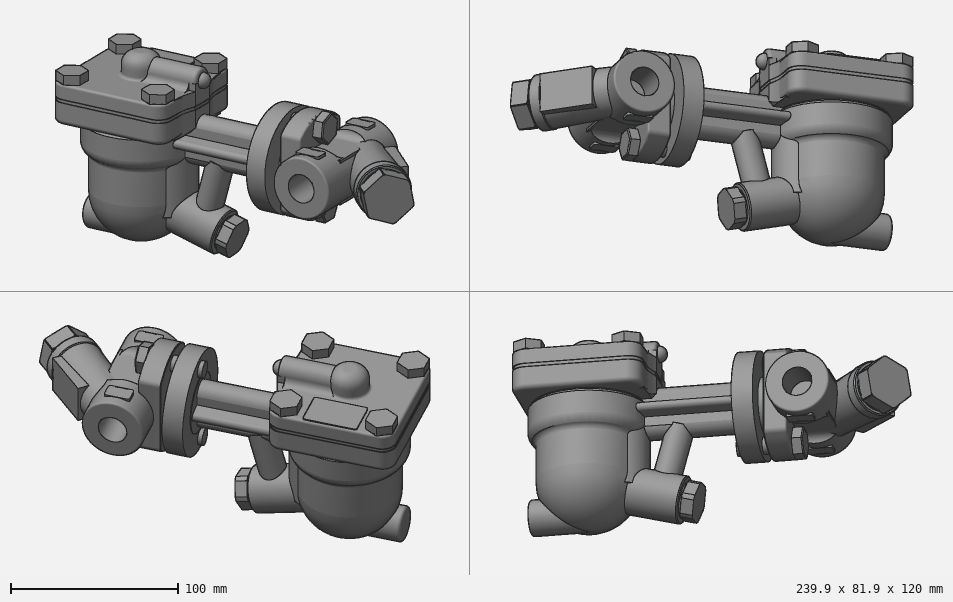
import cadquery as cq
import math


SQRT2 = math.sqrt(2)

joint_x = 111.4
bolt_offset = 25.2
bolt_shank_diameter = 10.5
flange_radius = 33.4

bowl_radius = 31.7
bowl_dome_z = -39.8
collar_radius = 36.5
collar_bottom_z = -9.0
collar_neck_inset = 1.5
shoulder_bottom_z = -17.5

cover_half = 39.8
cover_corner = 9.0
cover_top = 33.4
gasket_top = 23.8
gasket_bottom = 21.5
gasket_inset = 0.5
rim_bottom = 7.5
rim_bottom_round = 3.0
cover_top_round = 1.7
bump_half_width = 26.5
bump_x = 43.0
bump_flare_x = 40.3
bump_flare_y = 15.5

head_across_flats = 17.0
cover_bolt_pitch = 60.2
cover_bolt_height = 6.2

boss_radius = 12.0
boss_top = 48.5
boss_flat_diameter = 8.6
boss_dome_z = 39.5
boss_foot = 2.0
tube_radius = 8.0
tube_axis_z = 38.2
tube_end_round = 2.2
tube_post_depth = 9.5
ball_diameter = 10.0
label_length = 34.0
label_width = 22.5
label_y = 27.0
label_height = 0.7

lobe_half_width = 8.0
lobe_top = 16.0
lobe_shoulder = 10.0
rib_root_half_height = 4.0
rib_tip_half_height = 3.0
rib_tip = 16.8
neck_start_x = 24.0
flange_x = 94.0
flange_back_x = 107.0
flange_ring_radius = 19.2
flange_ring_height = 0.5
hub_diameter = 35.0

stub_diameter = 22.0
stub_z = -60.5
stub_end_x = -35.3
stub_edge = 2.0
column_x = 37.2
column_radius = 18.2
column_bottom = -48.0
holder_tilt = 15.0
holder_diameter = 29.3
holder_end_x = 58.5
holder_end_z = -56.2
holder_length = 48.0
holder_edge = 0.7
plug_neck_diameter = 22.0
plug_neck_length = 1.2
plug_flats = 23.0
plug_corner_diameter = 25.0
plug_length = 8.0
plug_turn = 5.0
drop_diameter = 17.0
drop_top_x = 56.2
drop_top_z = -9.5
drop_length = 38.5

plate_back_x = 125.8
plate_half_width = 22.8
plate_corner = 3.5
plate_back_round = 1.2
plate_front_chamfer = 0.5
bolt_tip_x = 91.2
bolt_head_height = 6.7
bolt_head_chamfer = 0.7
upper_head_turn = -11.0
lower_head_turn = 30.0
port_x = 135.4
port_y = 2.05
port_diameter = 39.0
port_half_length = 39.95
port_edge = 1.2
port_bore_diameter = 18.0
port_bore_depth = 24.0
core_half_height = 14.2
core_back_x = 150.2
core_flat_half = 11.8
core_fillet = 5.5
port_pad_length = 16.0
port_pad_x = 135.0
port_pad_width = 9.8
port_pad_half_height = 19.7
port_pad_centers = (30.2, -26.6)
pad_corner = 1.7

branch_axis_sum = 164.0
branch_start = 86.5
branch_ring_start = 132.0
branch_ring_end = 139.2
branch_head_start = 140.5
branch_head_end = 151.5
branch_start_radius = 15.0
branch_end_radius = 16.5
branch_ring_radius = 17.0
branch_ring_edge = 0.7
branch_neck_radius = 14.6
branch_head_flats = 28.8
branch_head_corner_diameter = 33.0
branch_head_turn = 11.0
branch_head_chamfer = 0.5
branch_pad_start = 97.5
branch_pad_end = 131.3
branch_pad_half_height = 12.0
branch_pad_reach = 16.8


def hexagon_prism(plane, across_flats, length, turn=0.0):
    """Hexagonal prism with one corner on the plane's local X, turned by an angle in degrees."""
    across_corners = across_flats / math.cos(math.pi / 6)
    sketch = cq.Workplane(plane).transformed(rotate=(0, 0, turn))
    return sketch.polygon(6, across_corners).extrude(length)


def x_cylinder(radius, x_from, x_to, y=0.0, z=0.0):
    """Cylinder along X."""
    plane = cq.Plane((x_from, y, z), (0, 1, 0), (1, 0, 0))
    return cq.Workplane(plane).circle(radius).extrude(x_to - x_from)


def rounded_square(half, bottom, top):
    square = cq.Workplane("XY", origin=(0, 0, bottom)).rect(2 * half, 2 * half).extrude(top - bottom)
    return square.edges("|Z").fillet(cover_corner)


def bowl():
    dome_bottom = bowl_dome_z - bowl_radius
    dome_mid = bowl_radius / SQRT2
    collar_neck = collar_radius - collar_neck_inset
    profile = (
        cq.Workplane("XZ")
        .moveTo(0, rim_bottom + 2.5)
        .lineTo(collar_neck, rim_bottom + 2.5)
        .lineTo(collar_neck, rim_bottom - 0.7)
        .lineTo(collar_radius, rim_bottom - 2.5)
        .lineTo(collar_radius, collar_bottom_z)
        .threePointArc((collar_radius - 0.7, collar_bottom_z - 3.0), (collar_radius - 2.5, collar_bottom_z - 5.3))
        .threePointArc((bowl_radius + 0.7, shoulder_bottom_z + 2.0), (bowl_radius, shoulder_bottom_z))
        .lineTo(bowl_radius, bowl_dome_z)
        .threePointArc((dome_mid, bowl_dome_z - dome_mid), (0, dome_bottom))
        .close()
    )
    return profile.revolve(360, (0, 0), (0, 1))


def side_bump(bottom, top, reach):
    """Flared thickening of the +X side of the cover and of the bowl rim."""
    side_x = cover_half - gasket_inset
    outline = (
        cq.Workplane("XY", origin=(0, 0, bottom))
        .moveTo(0, -bump_half_width)
        .lineTo(side_x, -bump_half_width)
        .threePointArc((bump_flare_x, -bump_flare_y), (reach, -lobe_half_width))
        .lineTo(reach, lobe_half_width)
        .threePointArc((bump_flare_x, bump_flare_y), (side_x, bump_half_width))
        .lineTo(0, bump_half_width)
        .close()
    )
    return outline.extrude(top - bottom)


def square_rims():
    """Cover, gasket and bowl rim, stacked, with the bump on their +X side."""
    cover = rounded_square(cover_half, gasket_top, cover_top).faces(">Z").edges().fillet(cover_top_round)
    gasket = rounded_square(cover_half - gasket_inset, gasket_bottom, gasket_top)
    rim = rounded_square(cover_half, rim_bottom, gasket_bottom).faces("<Z").edges().fillet(rim_bottom_round)
    body = cover.union(gasket).union(rim)
    body = body.union(side_bump(gasket_top, cover_top, bump_x))
    body = body.union(side_bump(gasket_bottom, gasket_top, bump_x - gasket_inset))
    rim_bump = side_bump(rim_bottom, gasket_bottom, bump_x).faces("<Z").edges(">X").chamfer(rim_bottom_round)
    return body.union(rim_bump)


def cover_bolt_heads():
    heads = cq.Workplane("XY")
    half = cover_bolt_pitch / 2
    for x in (-half, half):
        for y in (-half, half):
            plane = cq.Plane((x, y, cover_top), (0, 1, 0), (0, 0, 1))
            heads = heads.add(hexagon_prism(plane, head_across_flats, cover_bolt_height))
    return heads


def cover_boss():
    flat_radius = boss_flat_diameter / 2
    rise = boss_top - boss_dome_z
    run = boss_radius - flat_radius
    return (
        cq.Workplane("XZ")
        .moveTo(0, cover_top)
        .lineTo(boss_radius + boss_foot, cover_top)
        .radiusArc((boss_radius, cover_top + boss_foot), boss_foot)
        .lineTo(boss_radius, boss_dome_z)
        .threePointArc((flat_radius + run / SQRT2, boss_dome_z + rise / SQRT2), (flat_radius, boss_top))
        .lineTo(0, boss_top)
        .close()
        .revolve(360, (0, 0), (0, 1))
    )


def cover_tube():
    """Half-round tube on the cover with flared feet, ending in a ball."""
    foot = tube_axis_z - cover_top
    section = cq.Plane((0, 0, tube_axis_z), (0, 1, 0), (1, 0, 0))
    tube = (
        cq.Workplane(section)
        .moveTo(-tube_radius - foot, -foot)
        .radiusArc((-tube_radius, 0), -foot)
        .threePointArc((0, tube_radius), (tube_radius, 0))
        .radiusArc((tube_radius + foot, -foot), -foot)
        .close()
        .extrude(cover_half - cover_top_round)
    )
    end = x_cylinder(tube_radius, 0, bump_x, z=tube_axis_z).faces(">X").edges().fillet(tube_end_round)
    post = cq.Workplane("XY").box(tube_post_depth, 2 * tube_radius, foot, centered=(False, True, False))
    post = post.translate((bump_x - tube_post_depth, 0, cover_top))
    ball = cq.Workplane("XY", origin=(bump_x, 0, tube_axis_z)).sphere(ball_diameter / 2)
    return tube.union(end).union(post).union(ball)


def label_pad():
    pad = cq.Workplane("XY", origin=(0, label_y, cover_top)).rect(label_length, label_width)
    return pad.extrude(label_height).edges("|Z").fillet(pad_corner)


def neck():
    """Cross-shaped outlet neck: round-topped lobes up and down, tapered ribs to both sides."""
    rib_round_y = rib_tip - rib_tip_half_height
    section = cq.Workplane(cq.Plane((neck_start_x, 0, 0), (0, 1, 0), (1, 0, 0)))
    section = section.moveTo(lobe_half_width, rib_root_half_height)
    for side in (1, -1):
        section = (
            section.lineTo(side * lobe_half_width, side * lobe_shoulder)
            .threePointArc((0, side * lobe_top), (-side * lobe_half_width, side * lobe_shoulder))
            .lineTo(-side * lobe_half_width, side * rib_root_half_height)
            .lineTo(-side * rib_round_y, side * rib_tip_half_height)
            .threePointArc((-side * rib_tip, 0), (-side * rib_round_y, -side * rib_tip_half_height))
            .lineTo(-side * lobe_half_width, -side * rib_root_half_height)
        )
    return section.close().extrude(flange_x - neck_start_x)


def round_flange():
    ring = x_cylinder(flange_ring_radius, flange_x - flange_ring_height, flange_x)
    disc = x_cylinder(flange_radius, flange_x, flange_back_x)
    hub = x_cylinder(hub_diameter / 2, flange_back_x, joint_x)
    return disc.union(ring).union(hub)


def drain_stub():
    return x_cylinder(stub_diameter / 2, stub_end_x, 0, z=stub_z).faces("<X").edges().fillet(stub_edge)


def passage_column():
    """Round column down the +X side of the bowl, joining the neck to the screen holder."""
    column = cq.Workplane("XY", origin=(column_x - column_radius, 0, column_bottom))
    return column.circle(column_radius).extrude(-column_bottom)


def screen_holder():
    """Inclined holder with a hexagon plug, and the drop pipe that meets it at a right angle."""
    tilt = math.radians(holder_tilt)
    outward = cq.Vector(math.cos(tilt), 0, -math.sin(tilt))
    end = cq.Vector(holder_end_x, 0, holder_end_z)

    def plane_at(distance):
        return cq.Plane(end + outward * distance, (0, 1, 0), outward)

    barrel = cq.Workplane(plane_at(-holder_length)).circle(holder_diameter / 2).extrude(holder_length)
    barrel = barrel.faces(">X").edges().chamfer(holder_edge)
    down = cq.Vector(-math.sin(tilt), 0, -math.cos(tilt))
    drop_top = cq.Plane((drop_top_x, 0, drop_top_z), (0, 1, 0), down)
    drop = cq.Workplane(drop_top).circle(drop_diameter / 2).extrude(drop_length)
    body = barrel.union(drop)

    plug_neck = cq.Workplane(plane_at(0)).circle(plug_neck_diameter / 2).extrude(plug_neck_length)
    head = hexagon_prism(plane_at(plug_neck_length), plug_flats, plug_length, plug_turn)
    corner_trim = cq.Workplane(plane_at(plug_neck_length)).circle(plug_corner_diameter / 2).extrude(plug_length)
    return body.union(plug_neck).union(head.intersect(corner_trim))


def bolt_shanks():
    shanks = cq.Workplane("XY")
    for z in (-bolt_offset, bolt_offset):
        shanks = shanks.add(x_cylinder(bolt_shank_diameter / 2, bolt_tip_x, plate_back_x, z=z))
    return shanks


def make_trap():
    body = bowl().union(square_rims()).union(neck()).union(round_flange())
    body = body.union(drain_stub()).union(passage_column()).union(screen_holder())
    body = body.union(cover_boss()).union(cover_tube()).union(label_pad())
    for head in cover_bolt_heads().vals():
        body = body.union(cq.Workplane(head))
    for shank in bolt_shanks().vals():
        body = body.cut(cq.Workplane(shank))
    return body


def oval_plate():
    """Disc cut to a band, with rounded corners and edges."""
    disc = x_cylinder(flange_radius, joint_x, plate_back_x)
    band = cq.Workplane("XY").box(4 * plate_back_x, 2 * plate_half_width, 4 * flange_radius)
    plate = disc.intersect(band)
    plate = plate.edges("|X").edges(">Y or <Y").fillet(plate_corner)
    plate = plate.faces(">X").edges().fillet(plate_back_round)
    return plate.faces("<X").edges().chamfer(plate_front_chamfer)


def flange_bolts():
    bolts = bolt_shanks()
    for z, turn in ((bolt_offset, upper_head_turn), (-bolt_offset, lower_head_turn)):
        plane = cq.Plane((plate_back_x, 0, z), (0, 0, 1), (1, 0, 0))
        head = hexagon_prism(plane, head_across_flats, bolt_head_height, turn)
        bolts = bolts.add(head.faces(">X").edges().chamfer(bolt_head_chamfer))
    return bolts


def ports():
    """Barrel along Y that forms the two ports in line."""
    plane = cq.Plane((port_x, port_y - port_half_length, 0), (1, 0, 0), (0, 1, 0))
    barrel = cq.Workplane(plane).circle(port_diameter / 2).extrude(2 * port_half_length)
    return barrel.faces("<Y or >Y").edges().fillet(port_edge)


def port_bores():
    bores = cq.Workplane("XY")
    for side in (-1, 1):
        mouth = cq.Plane((port_x, port_y + side * port_half_length, 0), (1, 0, 0), (0, -side, 0))
        bores = bores.add(cq.Workplane(mouth).circle(port_bore_diameter / 2).extrude(port_bore_depth))
    return bores


def port_pads():
    """Flat pads above and below each port."""
    pads = cq.Workplane("XY")
    for y in port_pad_centers:
        pad = cq.Workplane("XY").box(port_pad_length, port_pad_width, 2 * port_pad_half_height)
        pads = pads.add(pad.edges("|Z").fillet(pad_corner).translate((port_pad_x, y, 0)))
    return pads


def waist_cuts():
    """Slots above and below the flat core, with rounded flanks up to the ports."""
    half = core_flat_half + core_fillet
    top = port_diameter
    start_x = port_x - port_diameter
    cuts = cq.Workplane("XY")
    for side in (-1, 1):
        outline = (
            cq.Workplane(cq.Plane((start_x, 0, 0), (0, 1, 0), (1, 0, 0)))
            .moveTo(-half, side * top)
            .lineTo(-half, side * (core_half_height + core_fillet))
            .radiusArc((-core_flat_half, side * core_half_height), -side * core_fillet)
            .lineTo(core_flat_half, side * core_half_height)
            .radiusArc((half, side * (core_half_height + core_fillet)), -side * core_fillet)
            .lineTo(half, side * top)
            .close()
        )
        cuts = cuts.add(outline.extrude(2 * port_diameter))
    return cuts


def core():
    """Flat block between the ports."""
    half = core_flat_half + core_fillet
    front_x = joint_x + 2.5
    block = cq.Workplane("XY", origin=(front_x, 0, 0))
    return block.box(core_back_x - front_x, 2 * half, 2 * core_half_height, centered=(False, True, True))


def branch_plane(distance):
    """Plane across the branch axis; local X is up, local Y points to (-X, -Y)."""
    half_sum = branch_axis_sum / 2
    step = distance / SQRT2
    return cq.Plane((half_sum + step, half_sum - step, 0), (0, 0, 1), (1, -1, 0))


def branch():
    """Conical strainer branch with a collar ring, a hexagon cap and a flat-topped pad."""
    along = cq.Plane((branch_axis_sum / 2, branch_axis_sum / 2, 0), (1, -1, 0), (0, 0, 1))
    body = (
        cq.Workplane(along)
        .moveTo(branch_start, 0)
        .lineTo(branch_start, branch_start_radius)
        .lineTo(branch_ring_start - branch_ring_edge, branch_end_radius)
        .lineTo(branch_ring_start, branch_ring_radius)
        .lineTo(branch_ring_end - branch_ring_edge, branch_ring_radius)
        .lineTo(branch_ring_end, branch_ring_radius - branch_ring_edge)
        .lineTo(branch_ring_end, branch_neck_radius)
        .lineTo(branch_head_start, branch_neck_radius)
        .lineTo(branch_head_start, 0)
        .close()
        .revolve(360, (0, 0), (1, 0))
    )
    head_length = branch_head_end - branch_head_start
    head = hexagon_prism(branch_plane(branch_head_start), branch_head_flats, head_length, branch_head_turn)
    trim = cq.Workplane(branch_plane(branch_head_start)).circle(branch_head_corner_diameter / 2)
    trim = trim.extrude(head_length).edges().chamfer(branch_head_chamfer)

    pad = cq.Workplane(branch_plane(branch_pad_start)).center(0, -branch_pad_reach / 2)
    pad = pad.rect(2 * branch_pad_half_height, branch_pad_reach).extrude(branch_pad_end - branch_pad_start)
    return body.union(head.intersect(trim)).union(pad)


def make_connector():
    barrels = ports()
    for cut in waist_cuts().vals():
        barrels = barrels.cut(cq.Workplane(cut))
    body = oval_plate().union(barrels).union(core()).union(branch())
    for extra in port_pads().vals() + flange_bolts().vals():
        body = body.union(cq.Workplane(extra))
    for bore in port_bores().vals():
        body = body.cut(cq.Workplane(bore))
    return body


trap = make_trap()
connector = make_connector()
result = cq.Compound.makeCompound([trap.val(), connector.val()])